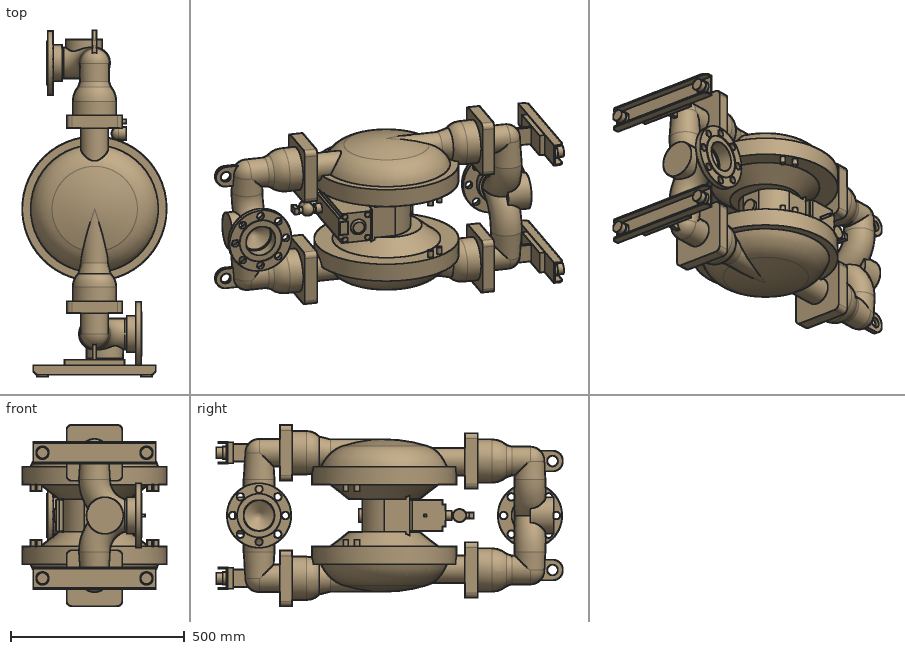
import cadquery as cq
import math


rim_radius = 416.0 / 2
rim_inner_z = 89.0
rim_joint_z = 113.0
rim_outer_z = 141.0
dome_base_radius = 184.0
crown_radius = 123.0
crown_edge_z = 201.0
dome_top_z = 220.0
cone_base_radius = 156.0
cone_tip_radius = 102.0
body_half_height = 47.0

bolt_circle_radius = 194.0
bolt_radius = 7.5
bolt_length = 19.0
bolt_angles = (204, 215, 325, 336)

body_half_width = 90.0
body_back_y = 62.0
body_front_y = -64.0
body_front_half_width = 29.0
body_shoulder_y = 0.0
body_shoulder_radius = 93.0
mount_plate_end_y = 74.0
mount_plate_half_height = 59.0
valve_half_width = 110.0
valve_neck_half_width = 102.0
valve_start_y = 80.0
valve_half_height = 45.0
valve_end_y = 168.0
valve_cap_end_y = 177.0
valve_cap_half_height = 32.0
valve_screw_radius = 8.0
valve_screw_inset = 10.0
valve_screw_height = 2.0
port_y = 118.0
port_radius = 23.0
port_tip_radius = 17.0
port_length = 6.0
recess_y = (149.0, 172.0)
recess_half_height = 20.0
recess_depth = 4.0
pin_radius = 4.0
pin_end_x = 146.0
plug_radius = 20.0
plug_length = 10.0

supply_x = 68.0
supply_collar_radius = 14.0
supply_collar_end_y = 195.0
supply_radius = 9.0
supply_end_y = 258.0
elbow_y = 217.0
elbow_radius = 19.0
elbow_length = 24.0
end_block_length = 13.0
end_block_half_height = 9.0

joint_size = 161.0
joint_corner_radius = 15.0
bell_radius = 63.0
flare_radius = 47.0

outlet_z = 157.0
outlet_axis_y = 419.0
outlet_pipe_radius = 42.0
outlet_plate_y = (232.0, 254.0, 270.0)
outlet_bell_y = 309.0
outlet_flare_y = 351.0
outlet_neck_y = 366.0
outlet_branch_end_y = 487.0
outlet_port_z = 155.0
outlet_port_radius = 40.0
outlet_port_start_y = 80.0

inlet_z = 181.0
inlet_axis_y = -360.0
inlet_pipe_radius = 40.0
inlet_port_radius = dome_top_z - inlet_z
inlet_plate_y = (-300.0, -284.0, -266.0)
inlet_bell_y = -225.0
inlet_flare_y = -188.0
inlet_neck_y = -156.0
inlet_branch_end_y = -430.0

tee_radius = 45.0
bend_radius = 104.0
branch_radius = 53.0
branch_offset = 30.0
hub_start = 93.0
hub_end = 119.0
hub_radius = 53.0
flange_end = 135.0
flange_radius = 93.0
raised_face_radius = 63.0
raised_face_end = 137.0
bore_radius = 44.0
bore_bottom = 88.0
bore_tip = 60.0
flange_hole_count = 8
flange_hole_circle = 76.0
flange_hole_radius = 21.0 / 2

lug_thickness = 12.0
lug_radius = 30.0
lug_hole_radius = 15.0
lug_center_y = 484.0

foot_rib_thickness = 11.0
foot_rib_height = 51.0
foot_pad_start_y = -434.0
foot_pad_half_width = 87.0
foot_web_y = -450.0
foot_end_y = -478.0
foot_half_width = 177.0
foot_height = 63.0
foot_pad_height = 61.0
foot_thickness = 4.0
foot_corner_chamfer = 10.0
foot_bolt_x = 150.0
foot_washer_radius = 37.0 / 2
foot_washer_end_y = -465.0
foot_bolt_radius = 33.0 / 2
foot_bolt_end_y = -484.0


def box(x_range, y_range, z_range):
    """Block between the given limits along each axis."""
    (x0, x1), (y0, y1), (z0, z1) = x_range, y_range, z_range
    return cq.Workplane("XY").box(x1 - x0, y1 - y0, z1 - z0, centered=False).translate((x0, y0, z0))


def cylinder(start, end, radius):
    """Round bar between two points."""
    axis = cq.Vector(*end) - cq.Vector(*start)
    return cq.Workplane(cq.Solid.makeCylinder(radius, axis.Length, cq.Vector(*start), axis))


def cone(start, end, start_radius, end_radius):
    """Tapered round bar between two points."""
    axis = cq.Vector(*end) - cq.Vector(*start)
    return cq.Workplane(cq.Solid.makeCone(start_radius, end_radius, axis.Length, cq.Vector(*start), axis))


def sphere(center, radius):
    return cq.Workplane("XY").sphere(radius).translate(center)


def mirrored(shape):
    """The shape joined with its reflection in Z = 0."""
    return shape.union(shape.mirror("XY"), clean=False)


def joined(shapes):
    """Union that keeps the joint lines between flush faces."""
    body = shapes[0]
    for shape in shapes[1:]:
        body = body.union(shape, clean=False)
    return body


def chamber():
    """Upper chamber: domed cover, two-piece rim and inner cone, turned about Z."""
    crown_rise = dome_top_z - crown_edge_z
    crown_curve = (crown_radius**2 + crown_rise**2) / (2 * crown_rise)
    half_angle = math.asin(crown_radius / crown_curve) / 2
    crown_middle = (
        crown_curve * math.sin(half_angle),
        dome_top_z - crown_curve * (1 - math.cos(half_angle)),
    )
    return (
        cq.Workplane("XZ")
        .moveTo(0, dome_top_z)
        .threePointArc(crown_middle, (crown_radius, crown_edge_z))
        .tangentArcPoint((dome_base_radius, rim_outer_z), relative=False)
        .lineTo(rim_radius, rim_outer_z)
        .lineTo(rim_radius, rim_joint_z)
        .lineTo(rim_radius, rim_inner_z)
        .lineTo(cone_base_radius, rim_inner_z)
        .lineTo(cone_tip_radius, body_half_height)
        .lineTo(0, body_half_height)
        .close()
        .revolve(360, (0, 0), (0, 1))
    )


def rim_bolts():
    """Bolts standing on the inner face of the upper rim."""
    bolts = []
    for angle in bolt_angles:
        x = bolt_circle_radius * math.cos(math.radians(angle))
        y = bolt_circle_radius * math.sin(math.radians(angle))
        bolts.append(cylinder((x, y, rim_joint_z), (x, y, rim_inner_z - bolt_length), bolt_radius))
    return bolts


def joint(plate_y, axis_z):
    """Pair of square plates bolted face to face across a pipe."""
    plates = []
    for start, end in zip(plate_y, plate_y[1:]):
        plate = cq.Workplane("XY").box(joint_size, end - start, joint_size)
        plate = plate.edges("|Y").fillet(joint_corner_radius)
        plates.append(plate.translate((0, (start + end) / 2, axis_z)))
    return plates


def bell(plate_y, bell_y, flare_y, neck_y, neck_radius, axis_z):
    """Reducer from a joint plate: straight skirt, round shoulder and a flare to the pipe."""
    shoulder_length = flare_y - bell_y
    shoulder_drop = bell_radius - flare_radius
    shoulder_curve = (shoulder_length**2 + shoulder_drop**2) / (2 * shoulder_drop)
    half_angle = math.asin(shoulder_length / shoulder_curve) / 2
    shoulder_middle = (
        bell_radius - shoulder_curve * (1 - math.cos(half_angle)),
        bell_y + shoulder_curve * math.sin(half_angle),
    )
    return (
        cq.Workplane("XY")
        .moveTo(0, plate_y)
        .lineTo(bell_radius, plate_y)
        .lineTo(bell_radius, bell_y)
        .threePointArc(shoulder_middle, (flare_radius, flare_y))
        .lineTo(neck_radius, neck_y)
        .lineTo(0, neck_y)
        .close()
        .revolve(360, (0, 0), (0, 1))
        .translate((0, 0, axis_z))
    )


def riser(axis_y, axis_z, pipe_radius, side):
    """Upper half of a tee: corner, tapered leg and bend towards the flange on the given X side."""
    corner = (0, axis_y, axis_z)
    leg = cone(corner, (0, axis_y, bend_radius), pipe_radius, tee_radius)
    path = cq.Workplane("XZ", origin=(0, axis_y, 0)).moveTo(0, bend_radius)
    path = path.radiusArc((side * bend_radius, 0), -side * bend_radius)
    bend = cq.Workplane("XY", origin=(0, axis_y, bend_radius)).circle(tee_radius).sweep(path)
    return [sphere(corner, pipe_radius), leg, bend]


def pipe_flange(axis_y, side):
    """Hub and drilled flange with a raised face, at the open end of a tee."""

    def bar(start, end, radius):
        return cylinder((side * start, axis_y, 0), (side * end, axis_y, 0), radius)

    flange = bar(hub_end, flange_end, flange_radius)
    for index in range(flange_hole_count):
        angle = 2 * math.pi * index / flange_hole_count
        y = axis_y + flange_hole_circle * math.cos(angle)
        z = flange_hole_circle * math.sin(angle)
        flange = flange.cut(cylinder((side * hub_end, y, z), (side * flange_end, y, z), flange_hole_radius))
    return [
        flange,
        bar(hub_start, hub_end, hub_radius),
        bar(flange_end, raised_face_end, raised_face_radius),
    ]


def flange_bore(axis_y, side):
    """Blind bore of a flange with a conical bottom."""
    bottom = (side * bore_bottom, axis_y, 0)
    bore = cylinder(bottom, (side * raised_face_end, axis_y, 0), bore_radius)
    return bore.union(cone(bottom, (side * bore_tip, axis_y, 0), bore_radius, 0))


def branch(axis_y, end_y, side):
    """Blanked branch of a tee, pointing away from the chambers."""
    x = side * branch_offset
    return cylinder((x, axis_y, 0), (x, end_y, 0), branch_radius)


def outlet_line():
    """Upper half of the pipework on the +Y side."""
    port = cylinder(
        (0, outlet_port_start_y, outlet_port_z), (0, outlet_plate_y[0], outlet_port_z), outlet_port_radius
    )
    neck = cylinder((0, outlet_neck_y, outlet_z), (0, outlet_axis_y, outlet_z), outlet_pipe_radius)
    reducer = bell(
        outlet_plate_y[-1], outlet_bell_y, outlet_flare_y, outlet_neck_y, outlet_pipe_radius, outlet_z
    )
    return (
        [port, neck, reducer, lifting_lug()]
        + joint(outlet_plate_y, outlet_z)
        + riser(outlet_axis_y, outlet_z, outlet_pipe_radius, -1)
    )


def inlet_line():
    """Upper half of the pipework on the -Y side."""
    port = cylinder((0, 0, inlet_z), (0, inlet_neck_y, inlet_z), inlet_port_radius)
    pipe = cylinder((0, inlet_plate_y[0], inlet_z), (0, inlet_axis_y, inlet_z), inlet_pipe_radius)
    reducer = bell(inlet_plate_y[-1], inlet_bell_y, inlet_flare_y, inlet_neck_y, inlet_port_radius, inlet_z)
    return (
        [port, pipe, reducer]
        + joint(inlet_plate_y, inlet_z)
        + riser(inlet_axis_y, inlet_z, inlet_pipe_radius, 1)
        + foot()
    )


def lifting_lug():
    """Round-ended eye plate on the upper outlet corner."""
    half = lug_thickness / 2
    eye = (lug_center_y, outlet_z)
    plate = box((-half, half), (outlet_axis_y, lug_center_y), (outlet_z - lug_radius, outlet_z + lug_radius))
    tip = cylinder((-half, *eye), (half, *eye), lug_radius)
    hole = cylinder((-half, *eye), (half, *eye), lug_hole_radius)
    return plate.union(tip).cut(hole)


def foot():
    """Channel foot on a rib from the upper inlet corner, with its pad and two bolts."""
    bottom = inlet_z - foot_height / 2
    top = inlet_z + foot_height / 2
    rib = box(
        (-foot_rib_thickness / 2, foot_rib_thickness / 2),
        (foot_pad_start_y, inlet_axis_y),
        (inlet_z - foot_rib_height / 2, inlet_z + foot_rib_height / 2),
    )
    pad = box(
        (-foot_pad_half_width, foot_pad_half_width),
        (foot_web_y, foot_pad_start_y),
        (inlet_z - foot_pad_height / 2, inlet_z + foot_pad_height / 2),
    )
    channel = box((-foot_half_width, foot_half_width), (foot_end_y, foot_web_y), (bottom, top))
    channel = channel.edges("|Z and <Y").chamfer(foot_corner_chamfer)
    trough = box(
        (-foot_half_width, foot_half_width),
        (foot_end_y, foot_web_y - foot_thickness),
        (bottom + foot_thickness, top - foot_thickness),
    )
    parts = [rib, pad, channel.cut(trough)]
    for x in (-foot_bolt_x, foot_bolt_x):
        seat = (x, foot_web_y, inlet_z)
        parts.append(cylinder(seat, (x, foot_washer_end_y, inlet_z), foot_washer_radius))
        parts.append(cylinder(seat, (x, foot_bolt_end_y, inlet_z), foot_bolt_radius))
    return parts


def air_body():
    """Body between the chambers, with curved front shoulders, a plug and the valve mounting plate."""
    body = (
        cq.Workplane("XY", origin=(0, 0, -body_half_height))
        .moveTo(-body_half_width, body_back_y)
        .lineTo(-body_half_width, body_shoulder_y)
        .radiusArc((-body_front_half_width, body_front_y), -body_shoulder_radius)
        .lineTo(body_front_half_width, body_front_y)
        .radiusArc((body_half_width, body_shoulder_y), -body_shoulder_radius)
        .lineTo(body_half_width, body_back_y)
        .close()
        .extrude(2 * body_half_height)
    )
    plate = box(
        (-body_half_width, body_half_width),
        (body_back_y, mount_plate_end_y),
        (-mount_plate_half_height, mount_plate_half_height),
    )
    plug = cylinder((0, body_front_y, 0), (0, body_front_y - plug_length, 0), plug_radius)
    return [body, plate, plug]


def air_valve():
    """Valve block with an end cap, corner screws, a tapered port and recess at -X and a pin at +X."""
    block = box(
        (-valve_half_width, valve_half_width),
        (valve_start_y, valve_end_y),
        (-valve_half_height, valve_half_height),
    )
    neck = box(
        (-valve_neck_half_width, valve_neck_half_width),
        (mount_plate_end_y, valve_start_y),
        (-valve_half_height, valve_half_height),
    )
    cap = box(
        (-valve_half_width, valve_half_width),
        (valve_end_y, valve_cap_end_y),
        (-valve_cap_half_height, valve_cap_half_height),
    )
    port = cone(
        (-valve_half_width, port_y, 0),
        (-valve_half_width - port_length, port_y, 0),
        port_radius,
        port_tip_radius,
    )
    recess = box(
        (-valve_half_width, -valve_half_width + recess_depth),
        recess_y,
        (-recess_half_height, recess_half_height),
    )
    pin = cylinder((valve_half_width, port_y, 0), (pin_end_x, port_y, 0), pin_radius)
    parts = [block.cut(recess), neck, cap.cut(recess), port, pin]
    screw_z = valve_half_height - valve_screw_inset
    for y in (valve_start_y + valve_screw_inset, valve_end_y - valve_screw_inset):
        for z in (-screw_z, screw_z):
            head = (-valve_half_width, y, z)
            parts.append(cylinder(head, (-valve_half_width - valve_screw_height, y, z), valve_screw_radius))
    return parts


def air_supply():
    """Collar, pipe, round-ended elbow and end block that feed the valve."""
    start = (supply_x, valve_cap_end_y, 0)
    collar = cylinder(start, (supply_x, supply_collar_end_y, 0), supply_collar_radius)
    pipe = cylinder(start, (supply_x, supply_end_y, 0), supply_radius)
    elbow = cylinder((supply_x, elbow_y, 0), (supply_x + elbow_length, elbow_y, 0), elbow_radius)
    elbow = elbow.union(sphere((supply_x, elbow_y, 0), elbow_radius))
    end_block = box(
        (supply_x - supply_radius, supply_x + elbow_length),
        (supply_end_y - end_block_length, supply_end_y),
        (-end_block_half_height, end_block_half_height),
    )
    return [collar, pipe, elbow, end_block]


upper_half = joined([chamber()] + rim_bolts() + outlet_line() + inlet_line())
flanges = pipe_flange(outlet_axis_y, -1) + pipe_flange(inlet_axis_y, 1)
branches = [
    branch(outlet_axis_y, outlet_branch_end_y, -1),
    branch(inlet_axis_y, inlet_branch_end_y, 1),
]
result = joined([mirrored(upper_half)] + flanges + branches + air_body() + air_valve() + air_supply())
result = result.cut(flange_bore(outlet_axis_y, -1)).cut(flange_bore(inlet_axis_y, 1))